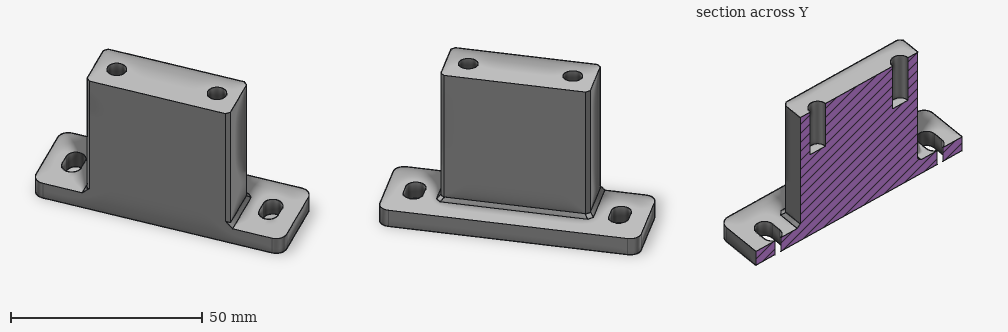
import cadquery as cq
import math

plate_length = 70.0
plate_depth = 22.0
plate_thickness = 5.0
plate_corner_radius = 3.0

total_height = 43.5
block_width = 40.0
block_depth = 14.0
block_edge_chamfer = 1.0
front_y = -plate_depth / 2
block_center_y = front_y + block_depth / 2
block_rear_y = front_y + block_depth

foot_size = 1.0
foot_corner_leg = block_edge_chamfer * math.sqrt(3 / 2)

slot_spacing = 55.0
slot_width = 5.3
slot_travel = 3.0
slot_length = slot_width + slot_travel

hole_spacing = 28.0
hole_diameter = 5.1
hole_depth = 15.0


def make_plate():
    plate = cq.Workplane("XY").box(
        plate_length, plate_depth, plate_thickness, centered=(True, True, False)
    )
    return plate.edges("|Z").fillet(plate_corner_radius)


def make_block():
    block = (
        cq.Workplane("XY", origin=(0, block_center_y, plate_thickness))
        .rect(block_width, block_depth)
        .extrude(total_height - plate_thickness)
    )
    return block.edges("|Z").chamfer(block_edge_chamfer)


def foot_section(overhang):
    """Corner points of the foot where it stands out from the block by the overhang."""
    half_width = block_width / 2 + overhang
    rear_y = block_rear_y + overhang
    return [
        (-half_width, front_y),
        (-half_width, rear_y - foot_corner_leg),
        (-half_width + foot_corner_leg, rear_y),
        (half_width - foot_corner_leg, rear_y),
        (half_width, rear_y - foot_corner_leg),
        (half_width, front_y),
    ]


def make_foot():
    """Sloping skirt, vertical at the front.

    It narrows on into the block, so that it also fills the lower ends of the front edge chamfers.
    """
    foot_height = foot_size + block_edge_chamfer
    return (
        cq.Workplane("XY", origin=(0, 0, plate_thickness))
        .polyline(foot_section(foot_size))
        .close()
        .workplane(offset=foot_height)
        .polyline(foot_section(-block_edge_chamfer))
        .close()
        .loft(ruled=True)
    )


def make_slot_cutters():
    return (
        cq.Workplane("XY")
        .rarray(slot_spacing, 1, 2, 1)
        .slot2D(slot_length, slot_width, 90)
        .extrude(plate_thickness)
    )


def make_hole_cutters():
    return (
        cq.Workplane("XY", origin=(0, block_center_y, total_height))
        .rarray(hole_spacing, 1, 2, 1)
        .circle(hole_diameter / 2)
        .extrude(-hole_depth)
    )


body = make_plate().union(make_block()).union(make_foot()).clean()
result = body.cut(make_slot_cutters()).cut(make_hole_cutters())